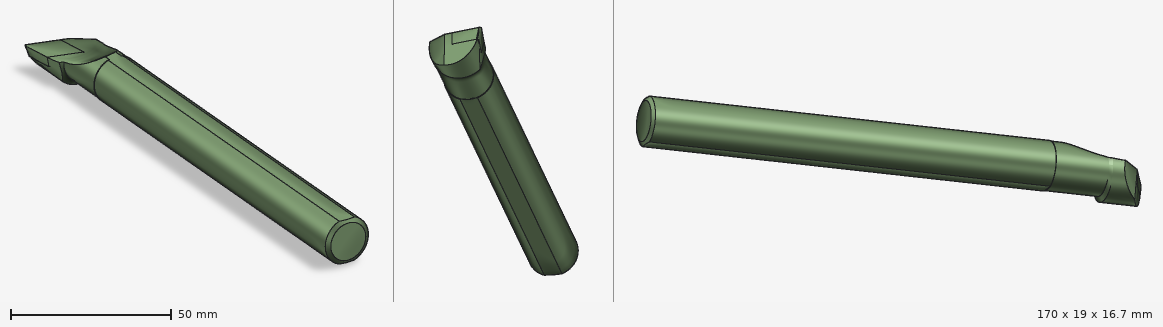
import cadquery as cq
import math

LENGTH = 170.0
SHANK_RADIUS = 8.0
FLAT_HEIGHT = 7.5
SHANK_START = 35.4
END_CHAMFER = 1.5
END_CHAMFER_DEPTH = 0.8
NECK_RADIUS = 7.8

HEAD_RADIUS = 9.2
HEAD_AXIS_Y = SHANK_RADIUS - HEAD_RADIUS
CONE_START = 16.3
HEAD_END = 17.7

TIP_Y = -11.0
RAKE_ANGLE = 6.6
CLEARANCE_ANGLE = 7.0
SIDE_ANGLE = 7.0
END_ANGLE = 64.0
END_FACE_LENGTH = 14.5
BACK_CORNER_X = 12.4

INSERT_EDGE = 11.5
INSERT_THICKNESS = 3.7
NOSE_RADIUS = 0.5

GULLET_X = 7.6
GULLET_Y = -0.7
FLOOR_RADIUS = 10.2
GULLET_RADIUS = 25.2
GULLET_DEPTH = 6.5
FLANK_SAG = 1.2

MARGIN = 34.0

RAKE_PLANE = cq.Plane(origin=(0, TIP_Y, 0)).rotated((RAKE_ANGLE, 0, 0))
BACK_CORNER_Y = (SHANK_RADIUS - TIP_Y) / math.cos(math.radians(RAKE_ANGLE))


def step(start, distance, angle):
    """Point at a distance from start, in a direction given in degrees."""
    turn = math.radians(angle)
    return (start[0] + distance * math.cos(turn), start[1] + distance * math.sin(turn))


NOSE_DISTANCE = NOSE_RADIUS / math.sin(math.radians((END_ANGLE - SIDE_ANGLE) / 2))
SHARP_TIP = step((NOSE_RADIUS, NOSE_RADIUS), -NOSE_DISTANCE, (END_ANGLE + SIDE_ANGLE) / 2)


def cylinder_x(radius, start, end, axis_y=0.0):
    return cq.Workplane("YZ", origin=(start, axis_y, 0)).circle(radius).extrude(end - start)


def make_insert():
    side_corner = step(SHARP_TIP, INSERT_EDGE, SIDE_ANGLE)
    end_corner = step(SHARP_TIP, INSERT_EDGE, END_ANGLE)
    back_corner = step(side_corner, INSERT_EDGE, END_ANGLE)
    blank = (
        cq.Workplane(RAKE_PLANE)
        .polyline([SHARP_TIP, side_corner, back_corner, end_corner])
        .close()
        .extrude(-INSERT_THICKNESS, taper=CLEARANCE_ANGLE)
    )
    nose_point = RAKE_PLANE.toWorldCoords((*SHARP_TIP, -INSERT_THICKNESS / 2))
    nose_edge = cq.selectors.NearestToPointSelector(nose_point.toTuple())
    return blank.edges(nose_edge).fillet(NOSE_RADIUS)


def make_shank():
    shank = cylinder_x(SHANK_RADIUS, SHANK_START, LENGTH)
    shank = shank.faces(">X").chamfer(END_CHAMFER_DEPTH, END_CHAMFER)
    flats = cq.Workplane("XY").box(2 * LENGTH, MARGIN, 2 * FLAT_HEIGHT)
    return shank.intersect(flats)


def make_neck():
    neck = cylinder_x(NECK_RADIUS, CONE_START, SHANK_START)
    top_cut = cq.Workplane("XY", origin=(0, 0, FLAT_HEIGHT)).rect(2 * LENGTH, MARGIN).extrude(MARGIN)
    return neck.cut(top_cut)


def make_head():
    cone = (
        cq.Workplane("YZ", origin=(CONE_START, HEAD_AXIS_Y, 0))
        .circle(HEAD_RADIUS)
        .workplane(offset=HEAD_END - CONE_START)
        .center(-HEAD_AXIS_Y, 0)
        .circle(NECK_RADIUS)
        .loft(ruled=True)
    )
    head = cylinder_x(HEAD_RADIUS, -MARGIN, CONE_START, HEAD_AXIS_Y).union(cone)
    end_top = step(SHARP_TIP, END_FACE_LENGTH, END_ANGLE)
    back_slope = math.degrees(math.atan2(BACK_CORNER_Y - end_top[1], BACK_CORNER_X - end_top[0]))
    outline = [
        SHARP_TIP,
        step(SHARP_TIP, MARGIN, SIDE_ANGLE),
        (MARGIN, MARGIN),
        step(end_top, MARGIN, back_slope),
        end_top,
    ]
    below_rake = cq.Workplane(RAKE_PLANE).polyline(outline).close().extrude(-MARGIN, taper=CLEARANCE_ANGLE)
    above_rake = cq.Workplane(RAKE_PLANE).polyline(outline).close().extrude(MARGIN)
    return head.intersect(below_rake.union(above_rake))


def make_gullet():
    axis_point = (GULLET_X, GULLET_Y - TIP_Y, 0)
    origin = RAKE_PLANE.toWorldCoords(axis_point)
    section = cq.Plane(origin=origin, xDir=RAKE_PLANE.xDir, normal=-RAKE_PLANE.yDir)
    hollow = (
        cq.Workplane(section)
        .lineTo(FLOOR_RADIUS, 0)
        .sagittaArc((GULLET_RADIUS, GULLET_DEPTH), -FLANK_SAG)
        .lineTo(GULLET_RADIUS, MARGIN)
        .lineTo(0, MARGIN)
        .close()
        .revolve(360, (0, 0), (0, 1))
    )
    open_front = (
        cq.Workplane(RAKE_PLANE)
        .center(GULLET_X - MARGIN, -MARGIN)
        .rect(MARGIN, 3 * MARGIN, centered=False)
        .extrude(MARGIN)
    )
    return hollow.union(open_front)


insert = make_insert()
holder = make_head().union(make_neck()).union(make_shank()).cut(make_gullet()).cut(insert)

result = cq.Compound.makeCompound([holder.val(), insert.val()])